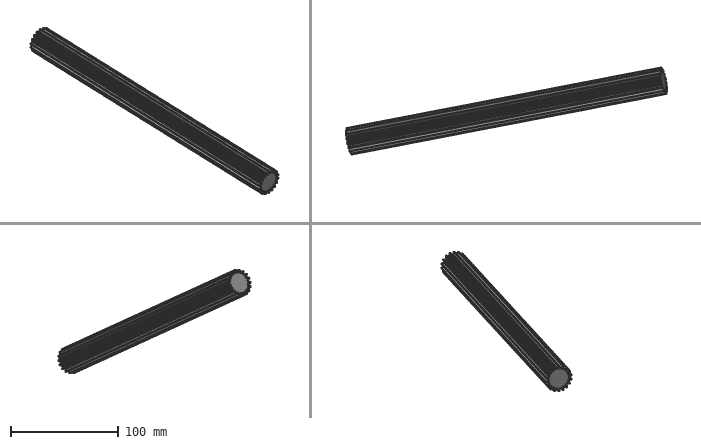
import cadquery as cq
import math

length = 304.8
tooth_count = 18
pitch_radius = 23.0 / 2
root_radius = 19.8 / 2
pressure_angle = math.radians(20)
backlash = 0.1
flank_steps = 5

module = 2 * pitch_radius / tooth_count
tip_radius = pitch_radius + module

tooth_pitch = 2 * math.pi / tooth_count
base_radius = pitch_radius * math.cos(pressure_angle)
pitch_half_angle = tooth_pitch / 4 - backlash / (2 * pitch_radius)
base_half_angle = pitch_half_angle + math.tan(pressure_angle) - pressure_angle


def polar(radius, angle):
    """Point at an angle turned from the vertical axis."""
    return (radius * math.sin(angle), radius * math.cos(angle))


def half_angle(radius):
    """Half the angular width of a tooth at a radius on its involute flank."""
    roll = math.acos(base_radius / radius)
    return base_half_angle - (math.tan(roll) - roll)


def flank(center, side):
    """Points up one flank from the base circle to the tip circle."""
    rise = (tip_radius - base_radius) / flank_steps
    radii = [base_radius + step * rise for step in range(flank_steps)] + [tip_radius]
    return [polar(radius, center + side * half_angle(radius)) for radius in radii]


def gear_outline():
    """Closed tooth profile: radial below the base circle, involute above it."""
    outline = cq.Workplane("YZ").moveTo(*polar(root_radius, -base_half_angle))
    for tooth in range(tooth_count):
        center = tooth * tooth_pitch
        rising = flank(center, -1)
        falling = flank(center, 1)[::-1]
        gap_bottom = polar(root_radius, center + tooth_pitch / 2)
        next_root = polar(root_radius, center + tooth_pitch - base_half_angle)
        outline = outline.lineTo(*rising[0])
        outline = outline.spline(rising[1:], includeCurrent=True)
        outline = outline.threePointArc(polar(tip_radius, center), falling[0])
        outline = outline.spline(falling[1:], includeCurrent=True)
        outline = outline.lineTo(*polar(root_radius, center + base_half_angle))
        outline = outline.threePointArc(gap_bottom, next_root)
    return outline.close()


result = gear_outline().extrude(length)